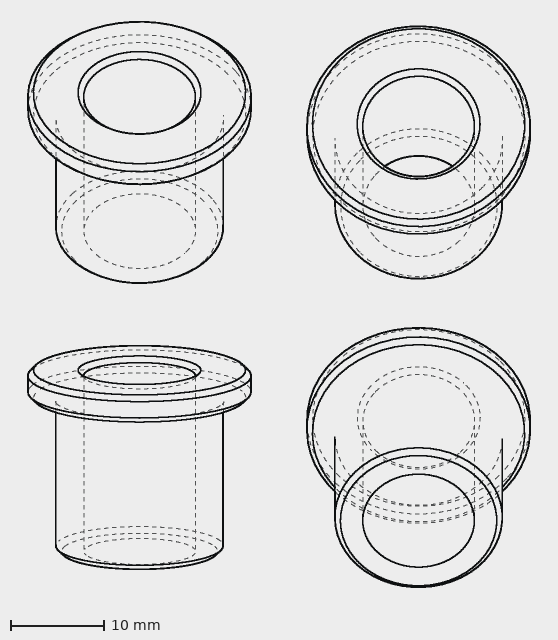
import cadquery as cq

flange_diameter = 24.0
body_diameter = 18.0
bore_diameter = 12.0
total_height = 20.0
flange_thickness = 3.0
chamfer_size = 0.6
neck_fillet = 0.6

body_length = total_height - flange_thickness

body = (
    cq.Workplane("XY")
    .circle(body_diameter / 2)
    .extrude(body_length)
    .faces("<Z")
    .edges()
    .chamfer(chamfer_size)
)

flange = (
    cq.Workplane("XY")
    .workplane(offset=body_length)
    .circle(flange_diameter / 2)
    .extrude(flange_thickness)
    .edges("%CIRCLE")
    .chamfer(chamfer_size)
)

bushing = body.union(flange)
flange_underside = bushing.faces(cq.selectors.NearestToPointSelector((0, 0, body_length)))
neck_edge = flange_underside.edges(cq.selectors.RadiusNthSelector(0))
bushing = neck_edge.fillet(neck_fillet)

bushing = bushing.faces(">Z").workplane().hole(bore_diameter)
bore_mouth = bushing.faces(">Z").edges(cq.selectors.RadiusNthSelector(0))
result = bore_mouth.chamfer(chamfer_size)